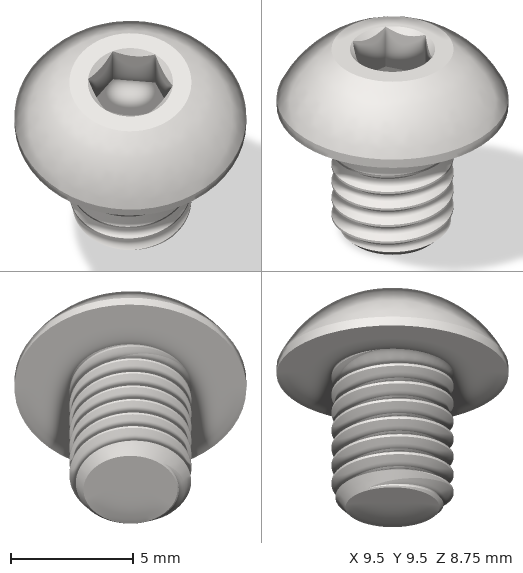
import cadquery as cq
import math

head_diameter = 9.5
head_height = 2.75
head_top_diameter = 5.0
rim_height = 0.4
dome_radius = 5.2

socket_across_flats = 3.02
socket_depth = 1.93
socket_chamfer_angle = 45.0

thread_diameter = 5.0
pitch = 0.8
shank_length = 6.0
crest_height_at_x = -0.55
tip_diameter = 3.85
tip_chamfer_angle = 45.0
neck_height = 0.55
root_overlap = 0.06

flank_slope = math.tan(math.radians(30))
crest_width = pitch / 8
root_width = pitch / 8
thread_depth = (pitch - crest_width - root_width) / (2 * flank_slope)
thread_radius = thread_diameter / 2
root_radius = thread_radius - thread_depth


def revolve_about_axis(outline):
    """Full turn of a closed half outline about the Z axis."""
    return outline.revolve(360, (0, 0), (0, 1))


def make_head():
    """Domed head with a short cylindrical rim and a flat top."""
    head_radius = head_diameter / 2
    top_radius = head_top_diameter / 2
    outline = (
        cq.Workplane("XZ")
        .lineTo(head_radius, 0)
        .lineTo(head_radius, rim_height)
        .radiusArc((top_radius, head_height), -dome_radius)
        .lineTo(0, head_height)
        .close()
    )
    return revolve_about_axis(outline)


def make_socket():
    """Hexagon with corners on the Y axis, chamfered by a cone that meets its corners."""
    corner_radius = socket_across_flats / math.sqrt(3)
    hexagon = (
        cq.Workplane("XY", origin=(0, 0, head_height))
        .transformed(rotate=(0, 0, 90))
        .polygon(6, 2 * corner_radius)
        .extrude(-socket_depth)
    )
    cone_depth = corner_radius * math.tan(math.radians(socket_chamfer_angle))
    chamfer_outline = (
        cq.Workplane("XZ", origin=(0, 0, head_height))
        .lineTo(corner_radius, 0)
        .lineTo(0, -cone_depth)
        .close()
    )
    return hexagon.union(revolve_about_axis(chamfer_outline))


def make_neck():
    """Cone from the thread diameter under the head down to the thread root."""
    outline = (
        cq.Workplane("XZ")
        .lineTo(thread_radius, 0)
        .lineTo(root_radius, -neck_height)
        .lineTo(0, -neck_height)
        .close()
    )
    return revolve_about_axis(outline)


def make_core():
    """Thread root cylinder, running on past the tip and up into the head."""
    core_length = shank_length + rim_height + pitch
    return (
        cq.Workplane("XY", origin=(0, 0, rim_height))
        .circle(root_radius)
        .extrude(-core_length)
    )


def make_ridge():
    """Right-hand helical ridge that runs on past the tip and up into the head."""
    turns_below = math.ceil((shank_length + crest_height_at_x) / pitch) + 1
    start_height = crest_height_at_x - turns_below * pitch
    ridge_length = (turns_below + 1) * pitch
    inner_radius = root_radius - root_overlap
    half_crest = crest_width / 2
    half_base = half_crest + (thread_radius - inner_radius) * flank_slope
    path = cq.Wire.makeHelix(pitch, ridge_length, root_radius).translate(cq.Vector(0, 0, start_height))
    return (
        cq.Workplane("XZ", origin=(0, 0, start_height))
        .moveTo(inner_radius, -half_base)
        .lineTo(thread_radius, -half_crest)
        .lineTo(thread_radius, half_crest)
        .lineTo(inner_radius, half_base)
        .close()
        .sweep(cq.Workplane(obj=path), isFrenet=True)
    )


def make_shank_envelope():
    """Space the shank may fill: it ends in a flat tip with a conical chamfer."""
    tip_radius = tip_diameter / 2
    outer_radius = head_diameter / 2
    chamfer_height = (outer_radius - tip_radius) / math.tan(math.radians(tip_chamfer_angle))
    outline = (
        cq.Workplane("XZ")
        .moveTo(0, -shank_length)
        .lineTo(tip_radius, -shank_length)
        .lineTo(outer_radius, chamfer_height - shank_length)
        .lineTo(outer_radius, rim_height)
        .lineTo(0, rim_height)
        .close()
    )
    return revolve_about_axis(outline)


shank = make_core().union(make_ridge()).intersect(make_shank_envelope())
head = make_head().union(make_neck()).cut(make_socket())
result = head.union(shank)